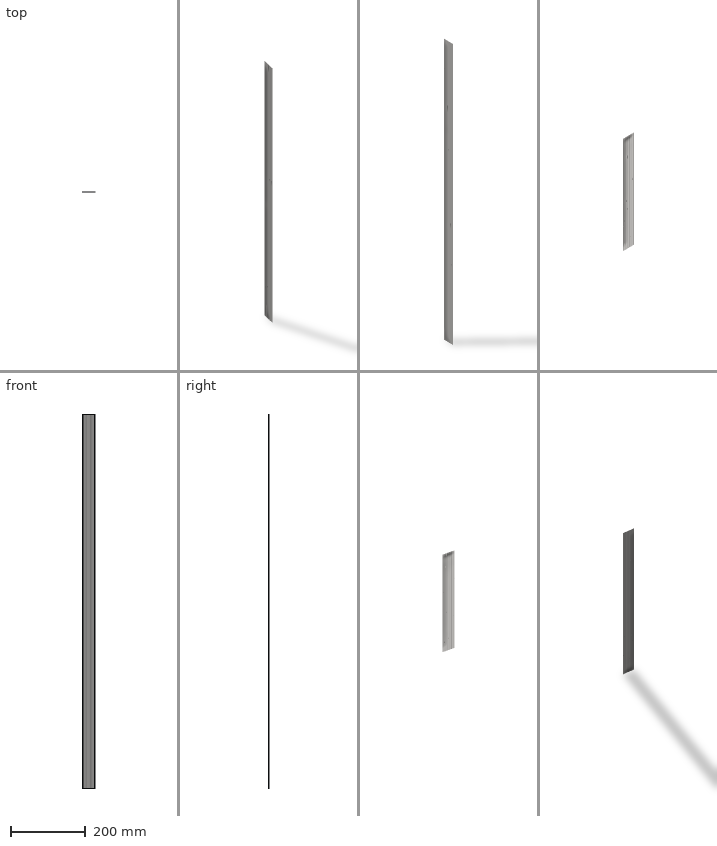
import math
import cadquery as cq

length = 1000.0
width = 33.01
thickness = 0.9
conductors = 26
pitch = 1.27
web_thickness = 0.4

crest_flat = 0.24
flank_angle = math.radians(54.57)
shoulder_radius = 0.2
root_radius = 0.3

crest_y = thickness / 2
root_y = web_thickness / 2


def arc_run(radius, angle):
    """Distance along X covered by an arc that starts parallel to X and turns by angle."""
    return radius * math.sin(angle)


def arc_drop(radius, angle):
    """Distance along Y covered by an arc that starts parallel to X and turns by angle."""
    return radius * (1 - math.cos(angle))


shoulder_start = (crest_flat / 2, crest_y)
shoulder_middle = (
    shoulder_start[0] + arc_run(shoulder_radius, flank_angle / 2),
    crest_y - arc_drop(shoulder_radius, flank_angle / 2),
)
shoulder_end = (
    shoulder_start[0] + arc_run(shoulder_radius, flank_angle),
    crest_y - arc_drop(shoulder_radius, flank_angle),
)
root_start_y = root_y + arc_drop(root_radius, flank_angle)
root_start_x = shoulder_end[0] + (shoulder_end[1] - root_start_y) / math.tan(flank_angle)
root_start = (root_start_x, root_start_y)
root_end = (root_start_x + arc_run(root_radius, flank_angle), root_y)
root_middle = (
    root_end[0] - arc_run(root_radius, flank_angle / 2),
    root_y + arc_drop(root_radius, flank_angle / 2),
)


def add_ridge(outline, centre, side):
    """Carry the outline over one ridge; side is -1 going to +X on -Y, +1 going to -X on +Y."""

    def rising(point):
        return (centre + side * point[0], side * point[1])

    def falling(point):
        return (centre - side * point[0], side * point[1])

    return (
        outline.lineTo(*rising(root_end))
        .threePointArc(rising(root_middle), rising(root_start))
        .lineTo(*rising(shoulder_end))
        .threePointArc(rising(shoulder_middle), rising(shoulder_start))
        .lineTo(*falling(shoulder_start))
        .threePointArc(falling(shoulder_middle), falling(shoulder_end))
        .lineTo(*falling(root_start))
        .threePointArc(falling(root_middle), falling(root_end))
    )


def ribbon_outline():
    centres = [(i - (conductors - 1) / 2) * pitch for i in range(conductors)]
    outline = cq.Workplane("XY").workplane(offset=-length / 2).moveTo(-width / 2, -root_y)
    for centre in centres:
        outline = add_ridge(outline, centre, -1)
    outline = outline.lineTo(width / 2, -root_y).lineTo(width / 2, root_y)
    for centre in reversed(centres):
        outline = add_ridge(outline, centre, 1)
    return outline.lineTo(-width / 2, root_y).close()


result = ribbon_outline().extrude(length)